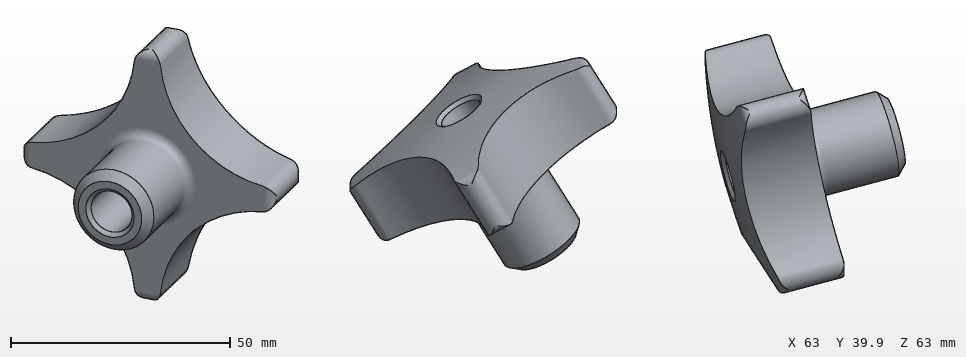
import cadquery as cq
import math

span = 63.0
head_height = 19.0
dome_radius = 128.0
scallop_radius = 28.5
tip_radius = 3.3
end_fillet = 2.1

hub_length = 21.0
hub_diameter = 20.0
hub_chamfer = 2.1
hub_fillet = 2.1
bore_diameter = 10.2
bore_chamfer = 0.9

half_span = span / 2
tip_center = half_span - tip_radius
center_distance = scallop_radius + tip_radius
scallop_center = (tip_center + math.sqrt(2 * center_distance**2 - tip_center**2)) / 2


def rotate_point(point, quarter_turns):
    """Turn an in-plane point about the origin by exact quarter turns."""
    x, z = point
    for _ in range(quarter_turns):
        x, z = -z, x
    return (x, z)


def make_star_prism():
    """Four round tips joined by tangent concave scallops, extruded along +Y."""
    touch_share = tip_radius / center_distance
    touch_x = scallop_center * touch_share
    touch_z = tip_center + (scallop_center - tip_center) * touch_share
    scallop_depth = scallop_center - scallop_radius / math.sqrt(2)

    outline = cq.Workplane("XZ").moveTo(touch_x, touch_z)
    for turn in range(4):
        outline = outline.threePointArc(
            rotate_point((0, half_span), turn), rotate_point((-touch_x, touch_z), turn)
        )
        outline = outline.threePointArc(
            rotate_point((-scallop_depth, scallop_depth), turn),
            rotate_point((touch_x, touch_z), turn + 1),
        )
    return outline.close().extrude(-head_height)


def make_domed_block():
    """Square block under a spherical dome, with its outer edges rounded."""
    block = cq.Workplane("XY").box(span, head_height, span).translate((0, head_height / 2, 0))
    dome = cq.Workplane("XY").sphere(dome_radius).translate((0, head_height - dome_radius, 0))
    domed = block.intersect(dome)
    return domed.faces("|X or |Z").edges("not |Y").fillet(end_fillet)


def make_hub():
    """Hub with a chamfered free end and a concave fillet against the head."""
    hub_radius = hub_diameter / 2
    root_radius = hub_radius + hub_fillet
    arc_offset = hub_fillet * (1 - math.sqrt(0.5))
    profile = (
        cq.Workplane("XY")
        .moveTo(0, -hub_length)
        .lineTo(hub_radius - hub_chamfer, -hub_length)
        .lineTo(hub_radius, hub_chamfer - hub_length)
        .lineTo(hub_radius, -hub_fillet)
        .threePointArc((hub_radius + arc_offset, -arc_offset), (root_radius, 0))
        .lineTo(root_radius, hub_fillet)
        .lineTo(0, hub_fillet)
        .close()
    )
    return profile.revolve(360, (0, 0, 0), (0, 1, 0))


def make_bore():
    """Through bore along Y, widened by a 45 degree chamfer at each end."""
    bore_radius = bore_diameter / 2
    mouth_radius = bore_radius + bore_chamfer
    dome_drop = dome_radius - math.sqrt(dome_radius**2 - mouth_radius**2)
    dome_mouth = head_height - dome_drop
    profile = (
        cq.Workplane("XY")
        .moveTo(0, -hub_length)
        .lineTo(mouth_radius, -hub_length)
        .lineTo(bore_radius, bore_chamfer - hub_length)
        .lineTo(bore_radius, dome_mouth - bore_chamfer)
        .lineTo(mouth_radius, dome_mouth)
        .lineTo(mouth_radius, head_height)
        .lineTo(0, head_height)
        .close()
    )
    return profile.revolve(360, (0, 0, 0), (0, 1, 0))


head = make_star_prism().intersect(make_domed_block())
result = head.union(make_hub()).cut(make_bore())